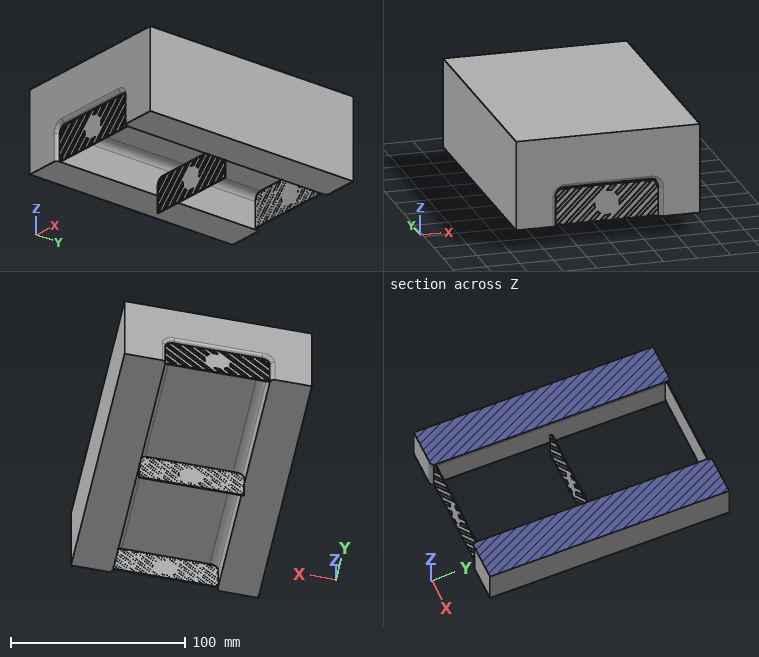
import cadquery as cq
import math

HOUSING_WIDTH = 110.0
HOUSING_LENGTH = 150.0
HOUSING_HEIGHT = 54.0

TUNNEL_WIDTH = 61.5
TUNNEL_HEIGHT = 23.0
TUNNEL_CORNER = 5.0
MOUTH_ROUND = 2.2

ROOF_GAP = 1.0
CURTAIN_HEIGHT = TUNNEL_HEIGHT - ROOF_GAP
CURTAIN_THICKNESS = 0.68
MIDDLE_DROP = 11.0

RIB_HEIGHT = 0.22
RIB_WIDTH = 2.0
RIB_PITCH = 5.0
RIB_ANGLE = 45.0
RIB_SHIFT = -0.55
RIB_MARGIN = 0.5
FIELD_RADIUS = 7.5


def arch(width, height, corner, length):
    """Prism along +Y from Y = 0, standing on Z = 0, with its two top corners rounded."""
    block = cq.Workplane("XY").box(width, length, height, centered=(True, False, False))
    return block.edges("|Y and >Z").fillet(corner)


def make_housing():
    """Block with the tunnel cut through it and both tunnel mouths rounded."""
    block = cq.Workplane("XY").box(
        HOUSING_WIDTH, HOUSING_LENGTH, HOUSING_HEIGHT, centered=(True, True, False)
    )
    tunnel = arch(TUNNEL_WIDTH, TUNNEL_HEIGHT, TUNNEL_CORNER, HOUSING_LENGTH)
    body = block.cut(tunnel.translate((0, -HOUSING_LENGTH / 2, 0)))
    reach = MOUTH_ROUND / 2
    half_span = TUNNEL_WIDTH / 2 + reach
    for mouth_y in (-HOUSING_LENGTH / 2, HOUSING_LENGTH / 2):
        rim = cq.selectors.BoxSelector(
            (-half_span, mouth_y - reach, reach),
            (half_span, mouth_y + reach, TUNNEL_HEIGHT + reach),
        )
        body = body.edges(rim).fillet(MOUTH_ROUND)
    return body


def make_ribs():
    """Diagonal bars clipped to the curtain outline and to the outside of the round field."""
    bar_length = math.hypot(TUNNEL_WIDTH, CURTAIN_HEIGHT)
    ribs_per_side = math.ceil(bar_length / 2 / RIB_PITCH)
    bar_centres = [(0, RIB_PITCH * i + RIB_SHIFT) for i in range(-ribs_per_side, ribs_per_side + 1)]
    bars = (
        cq.Workplane("XZ")
        .center(0, CURTAIN_HEIGHT / 2)
        .transformed(rotate=(0, 0, RIB_ANGLE))
        .pushPoints(bar_centres)
        .rect(bar_length, RIB_WIDTH)
        .extrude(RIB_HEIGHT)
    )
    ribbed_area = arch(
        TUNNEL_WIDTH - 2 * RIB_MARGIN,
        CURTAIN_HEIGHT - 2 * RIB_MARGIN,
        TUNNEL_CORNER - RIB_MARGIN,
        RIB_HEIGHT,
    ).translate((0, -RIB_HEIGHT, RIB_MARGIN))
    round_field = (
        cq.Workplane("XZ").center(0, CURTAIN_HEIGHT / 2).circle(FIELD_RADIUS).extrude(RIB_HEIGHT)
    )
    return bars.intersect(ribbed_area).cut(round_field)


def make_curtain():
    """Sheet standing on Z = 0 with its front at Y = 0 and the ribs rising toward -Y."""
    sheet = arch(TUNNEL_WIDTH, CURTAIN_HEIGHT, TUNNEL_CORNER, CURTAIN_THICKNESS)
    return sheet.union(make_ribs())


housing = make_housing()

front_curtain = make_curtain()
rear_curtain = front_curtain.mirror("XZ")
end_distance = HOUSING_LENGTH / 2 - MOUTH_ROUND
middle_y = (RIB_HEIGHT - CURTAIN_THICKNESS) / 2
curtain_places = [
    (front_curtain, -end_distance, 0),
    (front_curtain, middle_y, -MIDDLE_DROP),
    (rear_curtain, end_distance, ROOF_GAP),
]
curtains = [shape.translate((0, y, z)).val() for shape, y, z in curtain_places]

result = cq.Compound.makeCompound([housing.val(), *curtains])